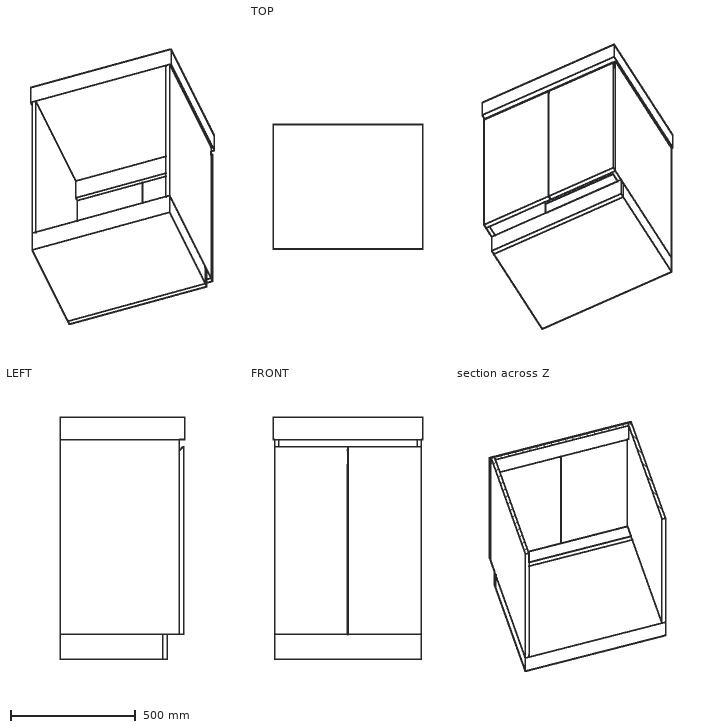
import cadquery as cq

OVERALL_WIDTH = 600.0
OVERALL_DEPTH = 500.0
OVERALL_HEIGHT = 970.0

WORKTOP_THICKNESS = 90.0
WORKTOP_EDGE_RADIUS = 1.0

CABINET_WIDTH = 588.0
BOARD_THICKNESS = 16.0
SIDE_DEPTH = 478.0
RAIL_HEIGHT = 100.0

DOOR_THICKNESS = 18.0
DOOR_GAP = 2.0
FINGER_GAP = 28.0
DOOR_TIP = 3.0

PLINTH_HEIGHT = 100.0
PLINTH_DEPTH = 430.0
PLINTH_FRONT_THICKNESS = 18.0

worktop_bottom = OVERALL_HEIGHT - WORKTOP_THICKNESS
door_top = worktop_bottom - FINGER_GAP
door_back = -SIDE_DEPTH
door_face = door_back - DOOR_THICKNESS
door_bevel = DOOR_THICKNESS - DOOR_TIP
door_width = (CABINET_WIDTH - DOOR_GAP) / 2
cabinet_left = -CABINET_WIDTH / 2
inner_width = CABINET_WIDTH - 2 * BOARD_THICKNESS
plinth_base_depth = PLINTH_DEPTH - PLINTH_FRONT_THICKNESS


def board(width, depth, height, left, front, bottom):
    """A rectangular board placed by its left, front and bottom faces."""
    return cq.Workplane("XY").box(width, depth, height, centered=False).translate((left, front, bottom))


def make_worktop():
    """Slab over the cabinet, with finely rounded top edges."""
    slab = board(
        OVERALL_WIDTH, OVERALL_DEPTH, WORKTOP_THICKNESS,
        -OVERALL_WIDTH / 2, -OVERALL_DEPTH, worktop_bottom,
    )
    return slab.faces(">Z").edges().fillet(WORKTOP_EDGE_RADIUS)


def make_side_panel(left):
    """Upright side of the cabinet, from the plinth to the worktop."""
    return board(
        BOARD_THICKNESS, SIDE_DEPTH, worktop_bottom - PLINTH_HEIGHT,
        left, -SIDE_DEPTH, PLINTH_HEIGHT,
    )


def make_front_rail():
    """Rail between the side panels, flush with their front edges, under the worktop."""
    return board(
        inner_width, BOARD_THICKNESS, RAIL_HEIGHT,
        -inner_width / 2, -SIDE_DEPTH, worktop_bottom - RAIL_HEIGHT,
    )


def make_door(left):
    """Door whose top, behind a narrow flat tip, slopes down to the back at 45 degrees as a finger pull."""
    profile = [
        (door_face, PLINTH_HEIGHT),
        (door_back, PLINTH_HEIGHT),
        (door_back, door_top - door_bevel),
        (door_face + DOOR_TIP, door_top),
        (door_face, door_top),
    ]
    return cq.Workplane("YZ", origin=(left, 0, 0)).polyline(profile).close().extrude(door_width)


def make_plinth_base():
    """Block that carries the cabinet behind the plinth front."""
    return board(CABINET_WIDTH, plinth_base_depth, PLINTH_HEIGHT, cabinet_left, -plinth_base_depth, 0)


def make_plinth_front():
    """Full-width board that closes the front of the plinth."""
    return board(CABINET_WIDTH, PLINTH_FRONT_THICKNESS, PLINTH_HEIGHT, cabinet_left, -PLINTH_DEPTH, 0)


worktop = make_worktop()
side_panels = [make_side_panel(left) for left in (cabinet_left, -cabinet_left - BOARD_THICKNESS)]
front_rail = make_front_rail()
doors = [make_door(left) for left in (cabinet_left, DOOR_GAP / 2)]
plinth_base = make_plinth_base()
plinth_front = make_plinth_front()

result = cq.Compound.makeCompound([
    worktop.val(),
    *[panel.val() for panel in side_panels],
    front_rail.val(),
    *[door.val() for door in doors],
    plinth_base.val(),
    plinth_front.val(),
])